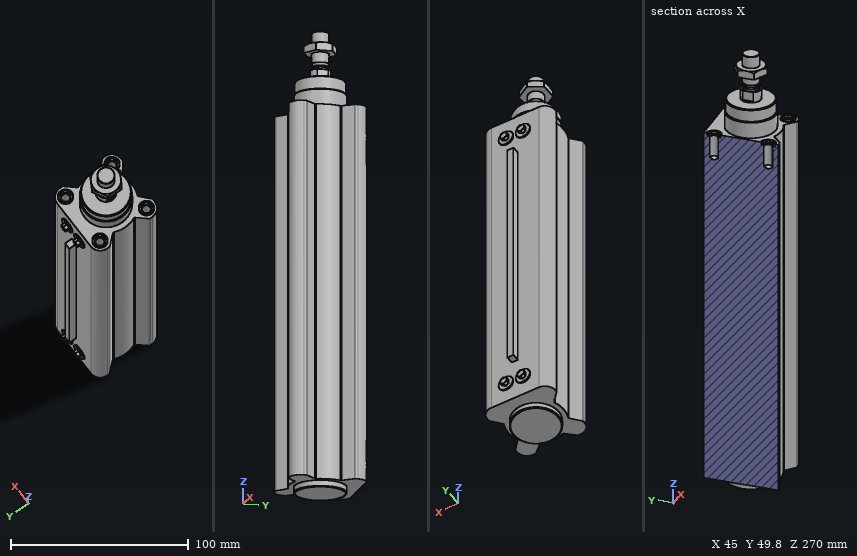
import cadquery as cq
import math

total_height = 270.0
body_bottom = 3.8
body_length = 219.9
body_top = body_bottom + body_length
body_middle = body_bottom + body_length / 2
lower_collar_height = 10.3
upper_collar_height = 7.5
collar_top = body_top + lower_collar_height + upper_collar_height
flats_bottom = 242.3
shank_top = 248.0
shoulder_top = 249.3
thread_bottom = 252.0
thread_chamfer = 1.5
tip_chamfer = 0.3
nut_bottom = 258.0
nut_height = 4.9

body_width = 45.0
half_width = body_width / 2
boss_radius = 6.8
boss_offset = half_width - boss_radius
boss_diagonal = boss_offset + boss_radius * math.sqrt(0.5)
boss_flat_end = 14.0
boss_edge_radius = 1.0
bulge_radius = 18.5
bulge_flat = 17.0
bulge_edge = math.sqrt(bulge_radius**2 - bulge_flat**2)
flank_end = 7.8

collar_diameter = 30.0
upper_collar_diameter = 29.0
collar_chamfer = 0.5

hole_pitch = 32.7
hole_offset = hole_pitch / 2
counterbore_diameter = 9.0
counterbore_depth = 1.5
counterbore_floor_diameter = 8.0
entry_diameter = 6.0
pilot_diameter = 4.9
pilot_depth = 13.5
drill_half_angle = 59.0

rail_width = 4.0
rail_length = 162.5
rail_reach = 27.3
fitting_offset = 5.7
fitting_end_distance = 13.8
fitting_flange_diameter = 9.5
fitting_flange_height = 0.8
fitting_head_across_corners = 4.9
fitting_head_height = 2.5
hexagon_corner_up = 90.0

rod_diameter = 12.0
thread_diameter = 10.0
shoulder_diameter = 9.5
neck_diameter = 8.6
nut_across_flats = 17.0
nut_outer_diameter = 19.5
hexagon_turn = 30.0
nut_chamfer_angle = 30.0


def turned(points):
    """Solid of revolution about Z from (radius, z) points."""
    return cq.Workplane("XZ").polyline(points).close().revolve(360, (0, 0), (0, 1))


def turned_point(x, y, quarter_turns):
    """Point turned clockwise about the axis by a number of quarter turns."""
    for _ in range(quarter_turns):
        x, y = y, -x
    return (x, y)


def body_profile():
    """Outline with four corner bosses, a flat back and a round bulge on each other side."""
    profile = (
        cq.Workplane("XY", origin=(0, 0, body_bottom))
        .moveTo(-boss_offset, half_width)
        .lineTo(boss_offset, half_width)
    )
    boss_middle = (boss_diagonal, boss_diagonal)
    for turns in range(3):
        points = [
            turned_point(x, y, turns)
            for x, y in (
                (half_width, boss_offset),
                (half_width, boss_flat_end),
                (bulge_flat, flank_end),
                (bulge_flat, bulge_edge),
                (bulge_radius, 0),
                (bulge_flat, -bulge_edge),
                (bulge_flat, -flank_end),
                (half_width, -boss_flat_end),
                (half_width, -boss_offset),
            )
        ]
        profile = profile.threePointArc(turned_point(*boss_middle, turns), points[0])
        for point in points[1:4]:
            profile = profile.lineTo(*point)
        profile = profile.threePointArc(points[4], points[5])
        for point in points[6:]:
            profile = profile.lineTo(*point)
    return profile.threePointArc(turned_point(*boss_middle, 3), (-boss_offset, half_width)).close()


def is_boss_edge(point):
    """True where a boss flat meets its flank."""
    inner, outer = sorted((abs(point.x), abs(point.y)))
    return math.isclose(inner, boss_flat_end) and math.isclose(outer, half_width)


def body():
    """Extruded body with its boss edges rounded."""
    block = body_profile().extrude(body_length)
    boss_edges = [edge for edge in block.edges("|Z").vals() if is_boss_edge(edge.Center())]
    return block.newObject(boss_edges).fillet(boss_edge_radius)


def collars():
    """Guide collar at the bottom and the stepped collar around the rod at the top."""
    radius = collar_diameter / 2
    upper_radius = upper_collar_diameter / 2
    step = collar_top - upper_collar_height
    step_width = radius - upper_radius
    return turned([
        (0, 0),
        (radius - collar_chamfer, 0),
        (radius, collar_chamfer),
        (radius, step - step_width),
        (upper_radius, step),
        (upper_radius, collar_top - collar_chamfer),
        (upper_radius - collar_chamfer, collar_top),
        (0, collar_top),
    ])


def corner_hole():
    """Counterbore with a chamfered mouth and a countersunk pilot hole ending in a drill point."""
    floor = body_top - counterbore_depth
    pilot_bottom = floor - pilot_depth
    entry_chamfer = (entry_diameter - pilot_diameter) / 2
    mouth_chamfer = (counterbore_diameter - counterbore_floor_diameter) / 2
    tip = pilot_diameter / 2 / math.tan(math.radians(drill_half_angle))
    return turned([
        (0, body_top),
        (counterbore_diameter / 2, body_top),
        (counterbore_floor_diameter / 2, body_top - mouth_chamfer),
        (counterbore_floor_diameter / 2, floor),
        (entry_diameter / 2, floor),
        (pilot_diameter / 2, floor - entry_chamfer),
        (pilot_diameter / 2, pilot_bottom),
        (0, pilot_bottom - tip),
    ])


def rail():
    """Narrow rail along the middle of the back face."""
    depth = rail_reach - half_width
    return cq.Workplane("XY").box(rail_width, depth, rail_length).translate(
        (0, half_width + depth / 2, body_middle)
    )


def fitting(x, z):
    """Round flange with a hexagon head, standing on the back face."""
    return (
        cq.Workplane("XZ", origin=(x, half_width, z))
        .circle(fitting_flange_diameter / 2)
        .extrude(-fitting_flange_height)
        .faces(">Y")
        .workplane()
        .transformed(rotate=(0, 0, hexagon_corner_up))
        .polygon(6, fitting_head_across_corners)
        .extrude(fitting_head_height)
    )


def make_housing():
    housing = body().union(collars()).union(rail())
    for x in (-fitting_offset, fitting_offset):
        for z in (body_bottom + fitting_end_distance, body_top - fitting_end_distance):
            housing = housing.union(fitting(x, z))
    for x in (-hole_offset, hole_offset):
        for y in (-hole_offset, hole_offset):
            housing = housing.cut(corner_hole().translate((x, y, 0)))
    rod_bore = (
        cq.Workplane("XY", origin=(0, 0, body_top))
        .circle(rod_diameter / 2)
        .extrude(collar_top - body_top)
    )
    return housing.cut(rod_bore)


def make_rod():
    """Rod with two wrench flats, a neck and a stud for the nut."""
    rod_radius = rod_diameter / 2
    thread_radius = thread_diameter / 2
    shoulder_radius = shoulder_diameter / 2
    neck_radius = neck_diameter / 2
    rod = turned([
        (0, body_top),
        (rod_radius, body_top),
        (rod_radius, shank_top),
        (shoulder_radius, shank_top),
        (shoulder_radius, shoulder_top),
        (neck_radius, shoulder_top),
        (neck_radius, thread_bottom - thread_chamfer),
        (thread_radius, thread_bottom),
        (thread_radius, total_height - tip_chamfer),
        (thread_radius - tip_chamfer, total_height),
        (0, total_height),
    ])
    flat_height = shank_top - flats_bottom
    outside_flats = (
        cq.Workplane("XY", origin=(0, 0, flats_bottom))
        .rect(2 * rod_diameter, 2 * rod_diameter)
        .rect(thread_diameter, 2 * rod_diameter)
        .extrude(flat_height)
    )
    return rod.cut(outside_flats)


def make_nut():
    """Hexagon nut with flats facing +X and -X and its upper corners turned down."""
    across_corners = nut_across_flats / math.cos(math.pi / 6)
    hexagon = (
        cq.Workplane("XY", origin=(0, 0, nut_bottom))
        .transformed(rotate=(0, 0, hexagon_turn))
        .polygon(6, across_corners)
        .extrude(nut_height)
    )
    corner_drop = (nut_outer_diameter - nut_across_flats) / 2 * math.tan(math.radians(nut_chamfer_angle))
    nut_top = nut_bottom + nut_height
    turned_blank = turned([
        (0, nut_bottom),
        (nut_outer_diameter / 2, nut_bottom),
        (nut_outer_diameter / 2, nut_top - corner_drop),
        (nut_across_flats / 2, nut_top),
        (0, nut_top),
    ])
    bore = (
        cq.Workplane("XY", origin=(0, 0, nut_bottom))
        .circle(thread_diameter / 2)
        .extrude(nut_height)
    )
    return hexagon.intersect(turned_blank).cut(bore)


housing = make_housing()
rod = make_rod()
nut = make_nut()

result = cq.Compound.makeCompound([housing.val(), rod.val(), nut.val()])